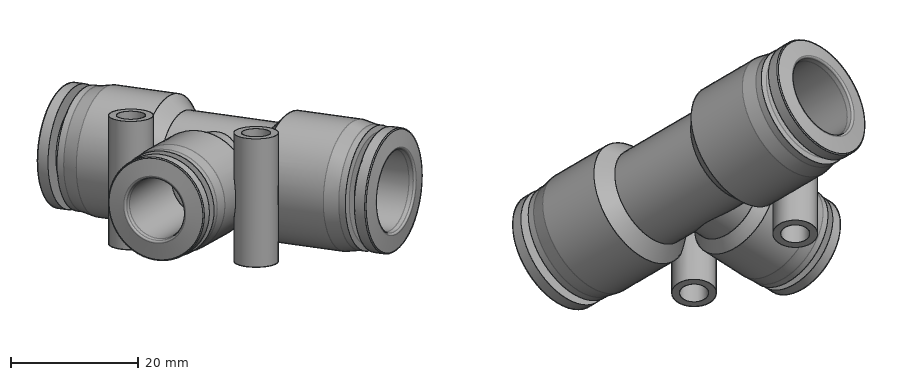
import cadquery as cq
import math

overall_length = 58.5
overall_depth = 36.8
overall_height = 21.0

run_end = overall_length / 2
run_body_radius = overall_height / 2
run_waist_radius = 8.2
run_waist_end = 8.25
run_shoulder_end = run_waist_end + run_body_radius - run_waist_radius
run_mouth_radius = 7.0

branch_end = overall_depth - run_body_radius
branch_body_radius = 8.8
branch_waist_radius = 7.0
branch_waist_end = 8.65
branch_shoulder_end = branch_waist_end + branch_body_radius - branch_waist_radius
branch_mouth_radius = 5.45

passage_radius = 8.0 / 2

rim_chamfer = 0.2
body_face_rise = 0.2
body_face_width = 1.0
mouth_rounding = 0.35
lead_in_length = 0.7
lead_in_depth = 0.1

post_offset_x = 11.0
post_offset_y = 12.7
post_radius = 3.5
post_hole_radius = 2.3
post_height = overall_height


def arm_outline(end, body_radius, waist_radius, waist_end, shoulder_end, taper_start, taper_end,
                body_end, flange_back, rim, lip_radius, flange_radius, neck_radius, mouth_radius):
    """Half section (axial position, radius) of one solid arm, from the tee centre outwards."""
    return [
        (0, 0),
        (0, waist_radius),
        (waist_end, waist_radius),
        (shoulder_end, body_radius),
        (taper_start, body_radius),
        (taper_end, lip_radius),
        (body_end - body_face_rise, lip_radius),
        (body_end, lip_radius - body_face_width),
        (body_end, neck_radius),
        (flange_back, neck_radius),
        (flange_back, flange_radius),
        (rim - rim_chamfer, flange_radius),
        (rim, flange_radius - rim_chamfer),
        (end, mouth_radius),
        (end, 0),
    ]


def revolve_about_x(outline):
    return outline.close().revolve(360, (0, 0, 0), (1, 0, 0))


def make_arm(**sizes):
    return revolve_about_x(cq.Workplane("XY").polyline(arm_outline(**sizes)))


def make_socket(end, bottom, mouth_radius):
    """Hollow of one arm: passage, tube bore, tapered lead-in and rounded mouth."""
    throat_radius = mouth_radius - mouth_rounding
    bore_radius = throat_radius - lead_in_depth
    throat = end - mouth_rounding
    arc_reach = mouth_rounding * math.sqrt(0.5)
    outline = (
        cq.Workplane("XY")
        .lineTo(0, passage_radius)
        .lineTo(bottom, passage_radius)
        .lineTo(bottom, bore_radius)
        .lineTo(throat - lead_in_length, bore_radius)
        .lineTo(throat, throat_radius)
        .threePointArc((throat + arc_reach, mouth_radius - arc_reach), (end, mouth_radius))
        .lineTo(end, 0)
    )
    return revolve_about_x(outline)


def turn_about_z(shape, angle):
    return shape.rotate((0, 0, 0), (0, 0, 1), angle)


run_arm = make_arm(
    end=run_end,
    body_radius=run_body_radius,
    waist_radius=run_waist_radius,
    waist_end=run_waist_end,
    shoulder_end=run_shoulder_end,
    taper_start=21.7,
    taper_end=24.15,
    body_end=25.5,
    flange_back=26.9,
    rim=28.9,
    lip_radius=10.0,
    flange_radius=10.0,
    neck_radius=7.25,
    mouth_radius=run_mouth_radius,
)
run_socket = make_socket(
    end=run_end,
    bottom=run_shoulder_end,
    mouth_radius=run_mouth_radius,
)

branch_arm = make_arm(
    end=branch_end,
    body_radius=branch_body_radius,
    waist_radius=branch_waist_radius,
    waist_end=branch_waist_end,
    shoulder_end=branch_shoulder_end,
    taper_start=19.2,
    taper_end=21.5,
    body_end=22.8,
    flange_back=23.9,
    rim=25.85,
    lip_radius=8.6,
    flange_radius=8.4,
    neck_radius=5.6,
    mouth_radius=branch_mouth_radius,
)
branch_socket = make_socket(
    end=branch_end,
    bottom=branch_shoulder_end,
    mouth_radius=branch_mouth_radius,
)

post_centres = [(-post_offset_x, -post_offset_y), (post_offset_x, -post_offset_y)]
post_base = cq.Workplane("XY").workplane(offset=-post_height / 2).pushPoints(post_centres)
posts = post_base.circle(post_radius).extrude(post_height)
result = run_arm.union(turn_about_z(run_arm, 180)).union(turn_about_z(branch_arm, -90)).union(posts)

post_holes = post_base.circle(post_hole_radius).extrude(post_height)
for hollow in (run_socket, turn_about_z(run_socket, 180), turn_about_z(branch_socket, -90), post_holes):
    result = result.cut(hollow)